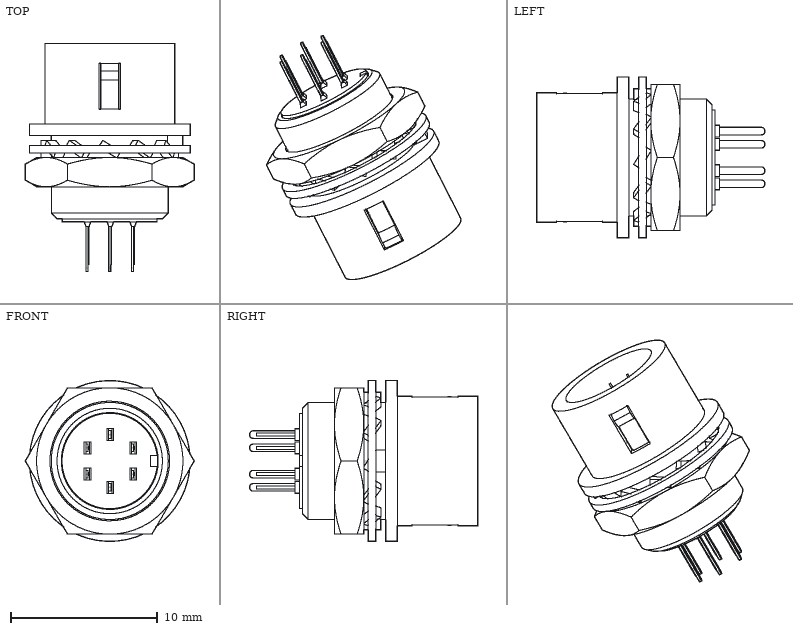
import cadquery as cq
import math


BARREL_RADIUS = 4.44
BARREL_END = 6.3
BORE_RADIUS = 3.35
BORE_FLOOR = 0.8
FLANGE_RADIUS = 5.5
FLANGE_THICKNESS = 0.8
THREAD_RADIUS = 4.0
THREAD_END = -5.7
THREAD_CHAMFER = 0.4

KEY_REACH = 5.0
KEY_WIDTH = 1.5

WINDOW_WIDTH = 1.46
WINDOW_FRONT = 1.81
WINDOW_REAR = 4.92
WINDOW_FLOOR = BORE_RADIUS - 0.5
TONGUE_WIDTH = 1.24
TONGUE_TOP = 3.9
BUMP_RADIUS = 0.64
BUMP_CENTRE_Y = 4.42
BUMP_TOP = 4.42
RAMP_END_HEIGHT = 4.15

WASHER_RADIUS = 5.5
WASHER_BORE_RADIUS = 4.7
WASHER_REAR = -0.67
WASHER_THICKNESS = 0.53
TOOTH_COUNT = 12
TOOTH_LENGTH = 1.45
TOOTH_TWIST = 32
TOOTH_ROOT = THREAD_RADIUS - 0.2

NUT_REAR = -1.5
NUT_THICKNESS = 2.0
NUT_FLATS = 10.0
NUT_CHAMFER_ANGLE = 30
NUT_RECESS_RADIUS = 4.09
NUT_RECESS_DEPTH = 0.2

INSERT_RADIUS = 3.26
INSERT_SEAT_RADIUS = 3.31
INSERT_FACE = -5.9
INSERT_GROOVE_DEPTH = 0.2
NOTCH_DEPTH = 0.5
NOTCH_WIDTH = 0.72
NOTCH_INNER_X = 2.77

PIN_COUNT = 6
PIN_CENTRE_X = 0.04
PIN_CIRCLE_RADIUS = 1.8
PIN_END = -9.3
PIN_HEIGHT = 0.53
PIN_THICKNESS = 0.16
PIN_TIP_ROUNDING = 0.25
RIB_END = -8.82
RIB_HEIGHT = 0.2
RIB_THICKNESS = 0.05
COLLAR_END = -6.2
COLLAR_HEIGHT = 0.82
COLLAR_BASE_WIDTH = 0.46
COLLAR_TIP_WIDTH = 0.24


def cylinder(radius, y_from, y_to):
    """Solid cylinder on the Y axis."""
    start = min(y_from, y_to)
    return cq.Workplane("XZ", origin=(0, start, 0)).circle(radius).extrude(-abs(y_to - y_from))


def block(x_range, y_range, z_range):
    """Box given by its limits along the three axes."""
    limits = (x_range, y_range, z_range)
    sizes = [high - low for low, high in limits]
    centre = tuple((low + high) / 2 for low, high in limits)
    return cq.Workplane("XY").box(*sizes).translate(centre)


def centred(width):
    return (-width / 2, width / 2)


def about_axis(shape, angle):
    return shape.rotate((0, 0, 0), (0, 1, 0), angle)


def make_window():
    return block(centred(WINDOW_WIDTH), (WINDOW_FRONT, WINDOW_REAR), (WINDOW_FLOOR, BARREL_RADIUS))


def make_tongue():
    """Spring tongue with a round bump that ramps down to the rear of the window."""
    bump_front = BUMP_CENTRE_Y - BUMP_RADIUS
    bump_centre_z = BUMP_TOP - BUMP_RADIUS
    arc_offset = BUMP_RADIUS * math.sqrt(0.5)
    profile = (
        cq.Workplane("YZ")
        .moveTo(bump_front, bump_centre_z)
        .threePointArc((BUMP_CENTRE_Y - arc_offset, bump_centre_z + arc_offset), (BUMP_CENTRE_Y, BUMP_TOP))
        .lineTo(WINDOW_REAR, RAMP_END_HEIGHT)
        .lineTo(WINDOW_REAR, WINDOW_FLOOR)
        .lineTo(bump_front, WINDOW_FLOOR)
        .close()
    )
    bump = profile.extrude(TONGUE_WIDTH / 2, both=True)
    spring = cylinder(TONGUE_TOP, WINDOW_FRONT, WINDOW_REAR).intersect(
        block(centred(TONGUE_WIDTH), (WINDOW_FRONT, WINDOW_REAR), (WINDOW_FLOOR, BARREL_RADIUS))
    )
    return spring.union(bump)


def make_shell():
    barrel = cylinder(BARREL_RADIUS, 0, BARREL_END)
    flange = cylinder(FLANGE_RADIUS, 0, FLANGE_THICKNESS)
    thread = cylinder(THREAD_RADIUS, THREAD_END, 0).faces("<Y").chamfer(THREAD_CHAMFER)
    key = block((0, KEY_REACH), (WASHER_REAR, 0), centred(KEY_WIDTH))
    shell = barrel.union(flange).union(thread).union(key)
    for side in (0, 180):
        shell = shell.cut(about_axis(make_window(), side))
        shell = shell.union(about_axis(make_tongue(), side))
    return shell.cut(cylinder(BORE_RADIUS, BORE_FLOOR, BARREL_END))


def make_lock_washer():
    middle = WASHER_REAR - WASHER_THICKNESS / 2
    ring = cylinder(WASHER_RADIUS, WASHER_REAR - WASHER_THICKNESS, WASHER_REAR)
    ring = ring.cut(cylinder(WASHER_BORE_RADIUS, WASHER_REAR - WASHER_THICKNESS, WASHER_REAR))
    tooth = (
        block(centred(TOOTH_LENGTH), centred(WASHER_THICKNESS), (TOOTH_ROOT, WASHER_BORE_RADIUS))
        .rotate((0, 0, 0), (0, 0, 1), -TOOTH_TWIST)
        .translate((0, middle, 0))
    )
    for index in range(TOOTH_COUNT):
        ring = ring.union(about_axis(tooth, index * 360 / TOOTH_COUNT))
    return ring


def make_nut():
    """Hexagon with points along X, its corners turned to cones on both faces."""
    corner_radius = NUT_FLATS / math.sqrt(3)
    cone_rise = (corner_radius - NUT_FLATS / 2) * math.tan(math.radians(NUT_CHAMFER_ANGLE))
    nut_front = NUT_REAR - NUT_THICKNESS
    hexagon = (
        cq.Workplane("XZ", origin=(0, NUT_REAR, 0))
        .polygon(6, 2 * corner_radius)
        .extrude(NUT_THICKNESS)
    )
    turned = (
        cq.Workplane("XY")
        .moveTo(0, NUT_REAR)
        .lineTo(NUT_FLATS / 2, NUT_REAR)
        .lineTo(corner_radius, NUT_REAR - cone_rise)
        .lineTo(corner_radius, nut_front + cone_rise)
        .lineTo(NUT_FLATS / 2, nut_front)
        .lineTo(0, nut_front)
        .close()
        .revolve(360, (0, 0, 0), (0, 1, 0))
    )
    bore = cylinder(THREAD_RADIUS, nut_front, NUT_REAR)
    recess = cylinder(NUT_RECESS_RADIUS, nut_front, nut_front + NUT_RECESS_DEPTH)
    return hexagon.intersect(turned).cut(bore).cut(recess)


def make_insert_groove():
    groove_floor = THREAD_END + INSERT_GROOVE_DEPTH
    outer = cylinder(INSERT_SEAT_RADIUS, THREAD_END, groove_floor)
    return outer.cut(cylinder(INSERT_RADIUS, THREAD_END, groove_floor))


def make_insert_face():
    return cylinder(INSERT_RADIUS, INSERT_FACE, THREAD_END)


def make_insert_notch():
    return block(
        (NOTCH_INNER_X, INSERT_RADIUS), (INSERT_FACE, INSERT_FACE + NOTCH_DEPTH), centred(NOTCH_WIDTH)
    )


def make_pin():
    """Flat pin on the Y axis, with a wedge collar at the insert and a rib on one side."""
    collar = (
        cq.Workplane("XY")
        .moveTo(-COLLAR_BASE_WIDTH / 2, INSERT_FACE)
        .lineTo(COLLAR_BASE_WIDTH / 2, INSERT_FACE)
        .lineTo(COLLAR_TIP_WIDTH / 2, COLLAR_END)
        .lineTo(-COLLAR_TIP_WIDTH / 2, COLLAR_END)
        .close()
        .extrude(COLLAR_HEIGHT / 2, both=True)
    )
    blade_left = -COLLAR_TIP_WIDTH / 2
    blade_right = blade_left + PIN_THICKNESS
    blade = block((blade_left, blade_right), (PIN_END, COLLAR_END), centred(PIN_HEIGHT))
    blade = blade.faces("<Y").edges("|X").fillet(PIN_TIP_ROUNDING)
    rib = block((blade_right, blade_right + RIB_THICKNESS), (RIB_END, COLLAR_END), centred(RIB_HEIGHT))
    return collar.union(blade).union(rib)


def pin_positions():
    for index in range(PIN_COUNT):
        angle = math.radians(90 + index * 360 / PIN_COUNT)
        yield (PIN_CENTRE_X + PIN_CIRCLE_RADIUS * math.cos(angle), 0, PIN_CIRCLE_RADIUS * math.sin(angle))


result = make_shell()
result = result.union(make_lock_washer()).union(make_nut())
result = result.cut(make_insert_groove()).union(make_insert_face()).cut(make_insert_notch())
pin = make_pin()
for position in pin_positions():
    result = result.union(pin.translate(position))